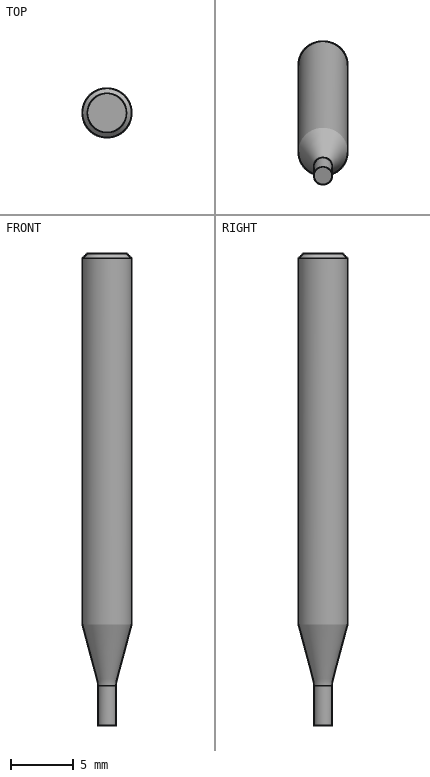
import cadquery as cq
import math

total_length = 38.0
shank_diameter = 4.0
tip_diameter = 1.5

tip_length = 3.2
taper_top = 8.15
taper_angle = math.radians(15)

shank_chamfer = 0.4

shank_radius = shank_diameter / 2
tip_radius = tip_diameter / 2


def taper_blend_radius():
    """Radius of the arc tangent to both the tip cylinder and the taper."""
    radial_drop = shank_radius - tip_radius
    tangent_length = taper_top - radial_drop / math.tan(taper_angle) - tip_length
    return tangent_length / math.tan(taper_angle / 2)


def blend_point(angle):
    """Radius and height on the blend arc, at an angle from its lower end."""
    blend = taper_blend_radius()
    return (tip_radius + blend * (1 - math.cos(angle)), tip_length + blend * math.sin(angle))


def make_shank():
    """Chamfered cylinder with a taper that blends down to the tip diameter."""
    return (
        cq.Workplane("XZ")
        .moveTo(0, tip_length)
        .lineTo(tip_radius, tip_length)
        .threePointArc(blend_point(taper_angle / 2), blend_point(taper_angle))
        .lineTo(shank_radius, taper_top)
        .lineTo(shank_radius, total_length - shank_chamfer)
        .lineTo(shank_radius - shank_chamfer, total_length)
        .lineTo(0, total_length)
        .close()
        .revolve(360, (0, 0, 0), (0, 1, 0))
    )


def make_cutting_tip():
    """Plain cylinder below the shank."""
    return cq.Workplane("XY").circle(tip_radius).extrude(tip_length)


shank = make_shank()
cutting_tip = make_cutting_tip()

result = cq.Compound.makeCompound([shank.val(), cutting_tip.val()])